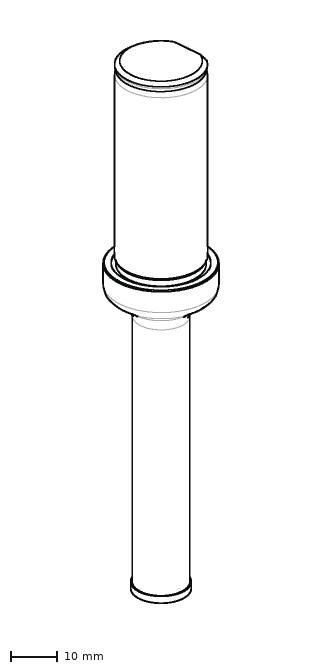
import cadquery as cq
import math

total_height = 131.0
tip_height = 2.4
flange_bottom_z = 74.5
flange_top_z = 81.2
neck_top_z = 82.3
groove_bottom_z = 127.6
groove_root_z = 128.9
groove_top_z = 129.8
end_chamfer_z = 130.2

tip_radius = 6.5
point_radius = 3.1 / 2
stem_radius = 12.5 / 2
flange_radius = 25.0 / 2
neck_radius = 19.5 / 2
shank_radius = 20.0 / 2
top_face_radius = 8.9
relief_radius = 10.7

point_height = 0.7
flange_chamfer = 0.3
shank_chamfer = 0.5
relief_depth = 0.4
cone_angle = 55.0
flange_rounding = 2.6
stem_rounding = 3.9

flat_y = 8.0
flat_bottom_z = 85.4
flat_runout_radius = 2.5


def revolve_profile(points):
    """Revolve a closed (radius, z) outline about Z."""
    return cq.Workplane("XZ").polyline(points).close().revolve(360, (0, 0, 0), (0, 1, 0))


def round_circular_edge(body, radius, z, rounding):
    """Fillet the circular edge of the given radius at height z."""
    search_margin = 0.1
    edge_box = cq.selectors.BoxSelector(
        (-2 * radius, -2 * radius, z - search_margin),
        (2 * radius, 2 * radius, z + search_margin),
        boundingbox=True,
    )
    return body.edges(edge_box).edges("%CIRCLE").fillet(rounding)


def make_flat_cutter():
    """Block that cuts the flat, with a concave run-out at its lower end."""
    height = total_height - flat_bottom_z
    return (
        cq.Workplane("XY")
        .box(2 * shank_radius, shank_radius, height, centered=(True, False, False))
        .edges("<Y and <Z")
        .fillet(flat_runout_radius)
        .translate((0, flat_y, flat_bottom_z))
    )


def make_holder():
    """Stem, flange with a ring recess, and grooved shank with a flat on one side."""
    cone_height = (flange_radius - stem_radius) / math.tan(math.radians(cone_angle))
    cone_bottom_z = flange_bottom_z - cone_height
    holder = revolve_profile([
        (0, tip_height),
        (stem_radius, tip_height),
        (stem_radius, cone_bottom_z),
        (flange_radius, flange_bottom_z),
        (flange_radius, flange_top_z - flange_chamfer),
        (flange_radius - flange_chamfer, flange_top_z),
        (relief_radius, flange_top_z),
        (relief_radius, flange_top_z - relief_depth),
        (neck_radius, flange_top_z - relief_depth),
        (neck_radius, neck_top_z),
        (shank_radius, neck_top_z + shank_chamfer),
        (shank_radius, groove_bottom_z),
        (neck_radius, groove_root_z),
        (shank_radius, groove_top_z),
        (shank_radius, end_chamfer_z),
        (top_face_radius, total_height),
        (0, total_height),
    ])
    holder = round_circular_edge(holder, flange_radius, flange_bottom_z, flange_rounding)
    holder = round_circular_edge(holder, stem_radius, cone_bottom_z, stem_rounding)
    return holder.cut(make_flat_cutter())


def make_tip():
    """Slightly wider disc under the stem, ending in a blunt shallow cone."""
    return revolve_profile([
        (0, 0),
        (point_radius, 0),
        (tip_radius, point_height),
        (tip_radius, tip_height),
        (0, tip_height),
    ])


holder = make_holder()
tip = make_tip()

result = cq.Compound.makeCompound([holder.val(), tip.val()])